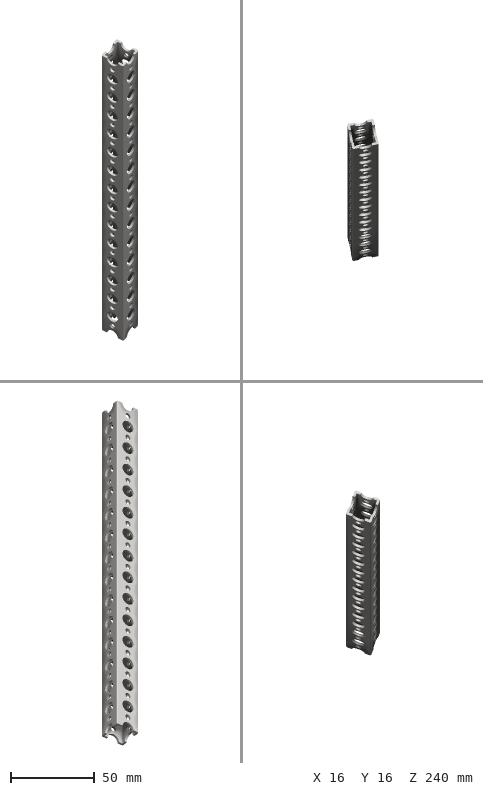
import cadquery as cq

length = 240.0
spaces = 15
pitch = length / spaces
width = pitch
wall = 1.5
corner_radius = 0.85
large_diameter = pitch / 2
small_diameter = 3.5


def square_tube():
    """Hollow square beam along Z, centred on the origin."""
    outside = cq.Workplane("XY").box(width, width, length).edges("|Z").fillet(corner_radius)
    bore_width = width - 2 * wall
    bore = cq.Workplane("XY").box(bore_width, bore_width, length)
    return outside.cut(bore)


def cross_holes(plane, diameter, count):
    """Row of holes spaced along Z, centred on the beam and passing through two opposite walls."""
    return (
        cq.Workplane(plane)
        .rarray(2.5, pitch, 1, count)
        .circle(diameter / 2)
        .extrude(width, both=True)
    )


result = square_tube()
for plane in ("XZ", "YZ"):
    result = result.cut(cross_holes(plane, large_diameter, spaces + 1))
    result = result.cut(cross_holes(plane, small_diameter, spaces))